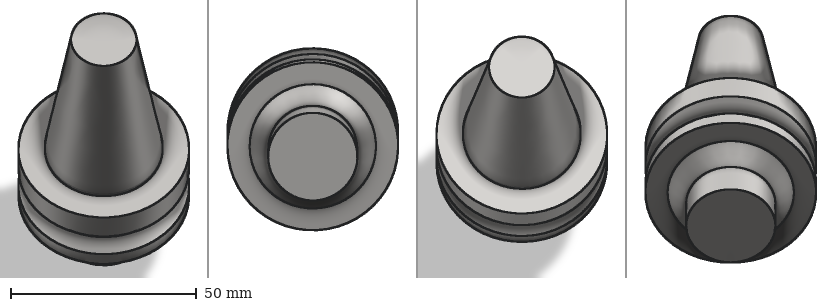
import cadquery as cq
import math


gauge_diameter = 31.75
taper_ratio = 7 / 24
taper_length = 48.4
gauge_land_height = 1.0

flange_diameter = 46.0
flange_bottom_depth = 22.0
groove_diameter = 38.0
groove_centre_depth = 13.6
groove_floor_height = 3.4
groove_flank_angle = 30.0

nose_diameter = 24.0
neck_height = 5.0
neck_angle = 45.0
overall_length = 85.9

gauge_radius = gauge_diameter / 2
small_end_radius = gauge_radius - taper_ratio * taper_length / 2
flange_radius = flange_diameter / 2
groove_radius = groove_diameter / 2
nose_radius = nose_diameter / 2
neck_radius = nose_radius + neck_height / math.tan(math.radians(neck_angle))

z_flange_top = -gauge_land_height
z_flange_bottom = -flange_bottom_depth
z_nose_top = z_flange_bottom - neck_height
z_nose_bottom = taper_length - overall_length


def revolve_profile(points):
    """Turn a closed outline of (radius, z) points about the Z axis."""
    return cq.Workplane("XZ").polyline(points).close().revolve(360, (0, 0, 0), (0, 1, 0))


def make_shank():
    """Tapered shank with a short cylindrical land at its large end."""
    return revolve_profile([
        (0, taper_length),
        (small_end_radius, taper_length),
        (gauge_radius, 0),
        (gauge_radius, z_flange_top),
        (0, z_flange_top),
    ])


def make_flange():
    """Round flange with a flat-bottomed V-groove around its rim."""
    flank_height = (flange_radius - groove_radius) * math.tan(math.radians(groove_flank_angle))
    half_floor = groove_floor_height / 2
    half_mouth = half_floor + flank_height
    return revolve_profile([
        (0, z_flange_top),
        (flange_radius, z_flange_top),
        (flange_radius, -groove_centre_depth + half_mouth),
        (groove_radius, -groove_centre_depth + half_floor),
        (groove_radius, -groove_centre_depth - half_floor),
        (flange_radius, -groove_centre_depth - half_mouth),
        (flange_radius, z_flange_bottom),
        (0, z_flange_bottom),
    ])


def make_nose():
    """Conical neck under the flange, ending in a plain cylinder."""
    return revolve_profile([
        (0, z_flange_bottom),
        (neck_radius, z_flange_bottom),
        (nose_radius, z_nose_top),
        (nose_radius, z_nose_bottom),
        (0, z_nose_bottom),
    ])


result = make_shank().union(make_flange()).union(make_nose())